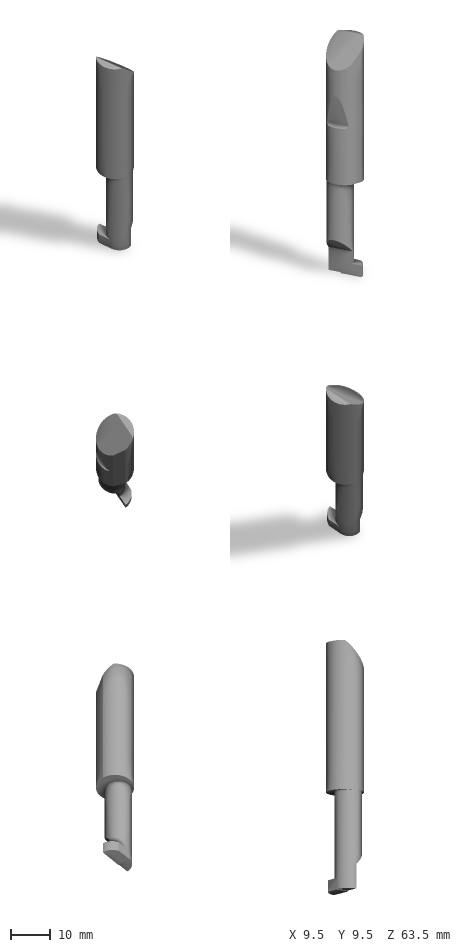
import cadquery as cq
import math

total_length = 63.5
shank_radius = 4.75
shank_bottom = 25.4

bevel_start_y = -2.9
rim_chamfer_width = 0.5
rim_chamfer_height = 0.1

flat_start_angle = 140.0
flat_end_angle = 180.0

notch_bottom = 40.4
notch_top = 48.75
notch_depth = 1.3
notch_corner_radius = 0.75

neck_radius = 3.4
neck_center_x = shank_radius - neck_radius
neck_bottom = 0.25
relief_top = 6.4

head_height = 3.1
head_corner_y = -3.3
head_corner_x = -2.6
corner_flat_width = 0.2
head_arc_middle = (-4.2, -1.85)
head_bottom_rise = 0.2

cut_size = 4 * shank_radius


def side_profile(points):
    """Solid with the given (Y, Z) outline, extending past the part along X."""
    return cq.Workplane("YZ").polyline(points).close().extrude(cut_size, both=True)


def make_shank():
    length = total_length - shank_bottom
    profile = (
        cq.Workplane("XZ")
        .moveTo(0, shank_bottom)
        .lineTo(shank_radius, shank_bottom)
        .lineTo(shank_radius, total_length - rim_chamfer_height)
        .lineTo(shank_radius - rim_chamfer_width, total_length)
        .lineTo(0, total_length)
        .close()
    )
    shank = profile.revolve(360, (0, 0, 0), (0, 1, 0))

    middle_angle = (flat_start_angle + flat_end_angle) / 2
    half_angle = math.radians(flat_end_angle - flat_start_angle) / 2
    flat_distance = shank_radius * math.cos(half_angle)
    flat_cutter = (
        cq.Workplane("XY")
        .workplane(offset=shank_bottom)
        .center(flat_distance + cut_size / 2, 0)
        .rect(cut_size, cut_size)
        .extrude(length)
        .rotate((0, 0, 0), (0, 0, 1), middle_angle)
    )

    bevel_cutter = side_profile([
        (bevel_start_y, total_length),
        (bevel_start_y + cut_size, total_length - cut_size),
        (bevel_start_y + cut_size, total_length),
    ])
    return shank.cut(flat_cutter).cut(bevel_cutter).cut(make_notch_cutter())


def make_notch_cutter():
    """Wedge with a square lower shoulder and a rounded inner corner."""
    slope = notch_depth / (notch_top - notch_bottom)
    outer_y = shank_radius + notch_depth
    outer_z = notch_top + notch_depth / slope
    wedge = side_profile([
        (shank_radius - notch_depth, notch_bottom),
        (outer_y, outer_z),
        (outer_y, notch_bottom),
    ])
    return wedge.edges("|X and <Y").fillet(notch_corner_radius)


def make_neck():
    neck = (
        cq.Workplane("XY")
        .workplane(offset=neck_bottom)
        .center(neck_center_x, 0)
        .circle(neck_radius)
        .extrude(shank_bottom - neck_bottom)
    )
    relief_cutter = side_profile([
        (0, 0),
        (0, relief_top),
        (shank_radius, relief_top + shank_radius),
        (shank_radius, 0),
    ])
    return neck.cut(relief_cutter)


def make_head():
    """Cutting head whose front face runs into the -Y edge of the neck."""
    arc_end = (head_corner_x - corner_flat_width, head_corner_y + corner_flat_width)
    head = (
        cq.Workplane("XY")
        .moveTo(-shank_radius, 0)
        .threePointArc(head_arc_middle, arc_end)
        .lineTo(head_corner_x, head_corner_y)
        .lineTo(neck_center_x, -neck_radius)
        .lineTo(neck_center_x, 0)
        .close()
        .extrude(head_height)
    )
    clearance_cutter = side_profile([(0, 0), (-neck_radius, 0), (-neck_radius, head_bottom_rise)])
    return head.cut(clearance_cutter)


result = make_shank().union(make_neck()).union(make_head())